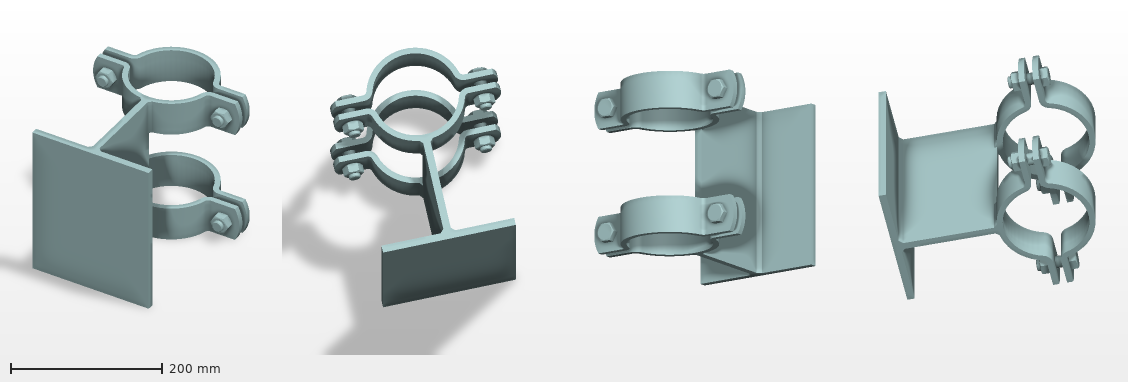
import cadquery as cq
import math


overall_width = 226.0
overall_depth = 272.76
bracket_height = 220.0

strap_thickness = 8.0
strap_height = 50.0
ring_outer_radius = 65.4
ring_inner_radius = ring_outer_radius - strap_thickness
clamp_gap = 11.0
bend_inner_radius = 6.0
bend_outer_radius = bend_inner_radius + strap_thickness
ear_end_radius = 50.0
ear_tip_x = overall_width / 2
ear_inner_face_y = clamp_gap / 2
ear_outer_face_y = ear_inner_face_y + strap_thickness
clamp_base_heights = (0.0, bracket_height - strap_height)

plate_width = 180.0
plate_thickness = 10.0
web_thickness = 10.0
plate_front_y = ring_outer_radius - overall_depth
plate_back_y = plate_front_y + plate_thickness
plate_weld_leg = 5.0
ring_weld_leg = 4.0

bolt_x = 89.0
bolt_diameter = 16.0
bolt_hole_diameter = 18.0
hex_across_flats = 24.0
hex_across_corners = hex_across_flats / math.cos(math.radians(30))
hex_face_diameter = 22.0
hex_chamfer_angle = 30.0
head_height = 10.0
nut_height = 13.0
bolt_protrusion = 5.0
bolt_tip_chamfer = 1.2


def make_half_strap():
    """Half ring on the +Y side with a bent-out ear at each end."""
    bend_y = ear_outer_face_y + bend_inner_radius
    bend_distance = ring_outer_radius + bend_inner_radius
    bend_x = math.sqrt(bend_distance**2 - bend_y**2)
    ring_end_angle = math.atan2(bend_y, bend_x)
    bend_start_angle = ring_end_angle + math.pi
    bend_end_angle = 1.5 * math.pi
    bend_middle_angle = (bend_start_angle + bend_end_angle) / 2

    def on_ring(radius):
        return radius * math.cos(ring_end_angle), radius * math.sin(ring_end_angle)

    def on_bend(radius):
        return (
            bend_x + radius * math.cos(bend_middle_angle),
            bend_y + radius * math.sin(bend_middle_angle),
        )

    def mirrored(point):
        return -point[0], point[1]

    ring_outer_end = on_ring(ring_outer_radius)
    ring_inner_end = on_ring(ring_inner_radius)
    outer_bend = on_bend(bend_inner_radius)
    inner_bend = on_bend(bend_outer_radius)
    profile = (
        cq.Workplane("XY")
        .moveTo(ear_tip_x, ear_outer_face_y)
        .lineTo(bend_x, ear_outer_face_y)
        .threePointArc(outer_bend, ring_outer_end)
        .threePointArc((0, ring_outer_radius), mirrored(ring_outer_end))
        .threePointArc(mirrored(outer_bend), (-bend_x, ear_outer_face_y))
        .lineTo(-ear_tip_x, ear_outer_face_y)
        .lineTo(-ear_tip_x, ear_inner_face_y)
        .lineTo(-bend_x, ear_inner_face_y)
        .threePointArc(mirrored(inner_bend), mirrored(ring_inner_end))
        .threePointArc((0, ring_inner_radius), ring_inner_end)
        .threePointArc(inner_bend, (bend_x, ear_inner_face_y))
        .lineTo(ear_tip_x, ear_inner_face_y)
        .close()
    )
    strap = profile.extrude(strap_height)
    return strap.intersect(make_ear_envelope()).cut(make_bolt_holes())


def make_ear_envelope():
    """Block with arc-shaped ends that rounds the ear tips as seen along Y."""
    half_height = strap_height / 2
    end_rise = ear_end_radius - math.sqrt(ear_end_radius**2 - half_height**2)
    corner_x = ear_tip_x - end_rise
    return (
        cq.Workplane("XZ")
        .moveTo(-corner_x, 0)
        .lineTo(corner_x, 0)
        .threePointArc((ear_tip_x, half_height), (corner_x, strap_height))
        .lineTo(-corner_x, strap_height)
        .threePointArc((-ear_tip_x, half_height), (-corner_x, 0))
        .close()
        .extrude(ring_outer_radius, both=True)
    )


def make_bolt_holes():
    return (
        cq.Workplane("XZ")
        .pushPoints([(-bolt_x, strap_height / 2), (bolt_x, strap_height / 2)])
        .circle(bolt_hole_diameter / 2)
        .extrude(ear_outer_face_y, both=True)
    )


def make_hex(height, chamfer_both_ends):
    """Hexagon along +Z from the origin, corners on X, with cone-chamfered ends."""
    face_radius = hex_face_diameter / 2
    corner_radius = hex_across_corners / 2
    chamfer_depth = (corner_radius - face_radius) * math.tan(math.radians(hex_chamfer_angle))
    hexagon = cq.Workplane("XY").polygon(6, hex_across_corners).extrude(height)
    profile = cq.Workplane("XZ").moveTo(0, 0)
    if chamfer_both_ends:
        profile = profile.lineTo(face_radius, 0).lineTo(corner_radius, chamfer_depth)
    else:
        profile = profile.lineTo(corner_radius, 0)
    chamfer_envelope = (
        profile.lineTo(corner_radius, height - chamfer_depth)
        .lineTo(face_radius, height)
        .lineTo(0, height)
        .close()
        .revolve(360, (0, 0), (0, 1))
    )
    return hexagon.intersect(chamfer_envelope)


def make_bolt():
    """Bolt and nut along Z, centred on the clamp gap, head at +Z."""
    shank_end = ear_outer_face_y + nut_height + bolt_protrusion
    shank = (
        cq.Workplane("XY")
        .workplane(offset=-shank_end)
        .circle(bolt_diameter / 2)
        .extrude(shank_end + ear_outer_face_y)
        .faces("<Z")
        .chamfer(bolt_tip_chamfer)
    )
    head = make_hex(head_height, chamfer_both_ends=False).translate((0, 0, ear_outer_face_y))
    nut = (
        make_hex(nut_height, chamfer_both_ends=True)
        .rotate((0, 0, 0), (1, 0, 0), 180)
        .translate((0, 0, -ear_outer_face_y))
    )
    return shank.union(head).union(nut)


def make_ring_weld():
    """Bevelled weld along the strap between the front ring and the web."""
    half_web = web_thickness / 2
    toe_x = half_web + ring_weld_leg
    toe_y = -math.sqrt(ring_outer_radius**2 - toe_x**2)
    root_y = -ring_outer_radius - ring_weld_leg
    return (
        cq.Workplane("XY")
        .moveTo(-half_web, root_y)
        .lineTo(half_web, root_y)
        .lineTo(toe_x, toe_y)
        .threePointArc((0, -ring_outer_radius), (-toe_x, toe_y))
        .close()
        .extrude(strap_height)
    )


def make_clamp():
    """Both strap halves, the ring weld and the two bolts of one clamp."""
    back_half = make_half_strap()
    clamp = back_half.union(back_half.mirror("XZ")).union(make_ring_weld())
    bolt = make_bolt().rotate((0, 0, 0), (1, 0, 0), -90)
    for x in (-bolt_x, bolt_x):
        clamp = clamp.union(bolt.translate((x, 0, strap_height / 2)))
    return clamp


def make_base():
    """Base plate and web, joined by bevelled welds over the full height."""
    half_plate = plate_width / 2
    half_web = web_thickness / 2
    weld_toe_x = half_web + plate_weld_leg
    weld_top_y = plate_back_y + plate_weld_leg
    return (
        cq.Workplane("XY")
        .moveTo(-half_plate, plate_front_y)
        .lineTo(half_plate, plate_front_y)
        .lineTo(half_plate, plate_back_y)
        .lineTo(weld_toe_x, plate_back_y)
        .lineTo(half_web, weld_top_y)
        .lineTo(half_web, -ring_outer_radius)
        .lineTo(-half_web, -ring_outer_radius)
        .lineTo(-half_web, weld_top_y)
        .lineTo(-weld_toe_x, plate_back_y)
        .lineTo(-half_plate, plate_back_y)
        .close()
        .extrude(bracket_height)
    )


result = make_base()
for base_height in clamp_base_heights:
    result = result.union(make_clamp().translate((0, 0, base_height)))